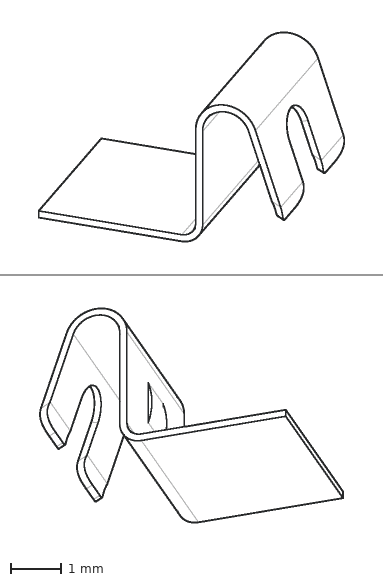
import cadquery as cq
import math

length = 5.16
width = 3.51
height = 3.17
thickness = 0.15

wall_x = 3.33
foot_inner_radius = 0.3
crown_radius = 0.65
tip_radius = 0.55
tip_center_z = 0.945
tip_end_angle = 27.0

slot_width = 1.015
slot_top_z = 2.44
finger_corner_radius = 0.395

pad_size = 0.91
pad_rise = 0.075
pad_center_z = 1.605

foot_outer_radius = foot_inner_radius + thickness
foot_center = (wall_x - foot_inner_radius, foot_outer_radius)
crown_center = (wall_x + crown_radius, height - crown_radius)
tip_center = (length - tip_radius, tip_center_z)

run = tip_center[0] - crown_center[0]
drop = crown_center[1] - tip_center[1]
leg_angle = math.degrees(
    math.atan2(run, drop) - math.asin((crown_radius - tip_radius) / math.hypot(run, drop))
)


def polar(center, radius, degrees):
    """Point in XZ at the given angle, measured from +X towards +Z."""
    angle = math.radians(degrees)
    return (center[0] + radius * math.cos(angle), center[1] + radius * math.sin(angle))


def curl_start(leg_point):
    """Where a line down the leg meets the plane, parallel to the tip's end face, starting the curl."""
    slope = math.radians(leg_angle)
    curl = math.radians(tip_end_angle)
    end = polar(tip_center, tip_radius, -tip_end_angle)
    rise = (leg_point[0] - end[0]) * math.sin(curl) + (leg_point[1] - end[1]) * math.cos(curl)
    travel = (rise - finger_corner_radius) / math.cos(slope + curl)
    return (leg_point[0] + travel * math.sin(slope), leg_point[1] - travel * math.cos(slope))


def make_strip():
    crown_mid = (180 + leg_angle) / 2
    crown_inner = crown_radius - thickness
    tip_inner = tip_radius - thickness
    leg_inner_top = polar(crown_center, crown_inner, leg_angle)
    leg_outer_top = polar(crown_center, crown_radius, leg_angle)
    return (
        cq.Workplane("XZ")
        .moveTo(0, 0)
        .lineTo(foot_center[0], 0)
        .threePointArc(
            polar(foot_center, foot_outer_radius, -45), polar(foot_center, foot_outer_radius, 0)
        )
        .lineTo(*polar(crown_center, crown_inner, 180))
        .threePointArc(
            polar(crown_center, crown_inner, crown_mid), leg_inner_top
        )
        .lineTo(*curl_start(leg_inner_top))
        .threePointArc(
            polar(tip_center, tip_inner, 0), polar(tip_center, tip_inner, -tip_end_angle)
        )
        .lineTo(*polar(tip_center, tip_radius, -tip_end_angle))
        .threePointArc(
            polar(tip_center, tip_radius, 0), curl_start(leg_outer_top)
        )
        .lineTo(*leg_outer_top)
        .threePointArc(
            polar(crown_center, crown_radius, crown_mid), polar(crown_center, crown_radius, 180)
        )
        .lineTo(*polar(foot_center, foot_inner_radius, 0))
        .threePointArc(
            polar(foot_center, foot_inner_radius, -45), polar(foot_center, foot_inner_radius, -90)
        )
        .lineTo(0, thickness)
        .close()
        .extrude(width / 2, both=True)
    )


def make_slot():
    """Round-topped cutter, square to the sloping leg and open at its lower end."""
    leg_start = polar(crown_center, crown_radius, leg_angle)
    slope = math.radians(leg_angle)
    crest_x = leg_start[0] + (leg_start[1] - slot_top_z) * math.tan(slope)
    leg_plane = cq.Plane(
        origin=(crest_x, 0, slot_top_z),
        xDir=(0, 1, 0),
        normal=(math.cos(slope), 0, math.sin(slope)),
    )
    half = slot_width / 2
    reach = slot_top_z
    depth = 2 * tip_radius
    return (
        cq.Workplane(leg_plane)
        .moveTo(-half, -half)
        .threePointArc((0, 0), (half, -half))
        .lineTo(half, -reach)
        .lineTo(-half, -reach)
        .close()
        .extrude(depth / 2, both=True)
    )


def make_corner_cutter(edge_y, inward):
    """Waste outside one finger corner; inward is the sign of Y pointing into the finger."""
    end_corner = polar(tip_center, tip_radius, -tip_end_angle)
    facing = math.radians(-tip_end_angle)
    finger_plane = cq.Plane(
        origin=(end_corner[0], edge_y, end_corner[1]),
        xDir=(0, 1, 0),
        normal=(math.cos(facing), 0, math.sin(facing)),
    )
    radius = finger_corner_radius
    arc_offset = radius * (1 - math.sqrt(0.5))
    return (
        cq.Workplane(finger_plane)
        .moveTo(0, radius)
        .threePointArc((inward * arc_offset, arc_offset), (inward * radius, 0))
        .lineTo(inward * radius, -radius)
        .lineTo(-inward * radius, -radius)
        .lineTo(-inward * radius, radius)
        .close()
        .extrude(tip_radius, both=True)
    )


def make_pad():
    half = pad_size / 2
    return (
        cq.Workplane("XZ")
        .moveTo(wall_x, pad_center_z - half)
        .threePointArc((wall_x - pad_rise, pad_center_z), (wall_x, pad_center_z + half))
        .lineTo(wall_x + thickness, pad_center_z + half)
        .lineTo(wall_x + thickness, pad_center_z - half)
        .close()
        .extrude(half, both=True)
    )


result = make_strip().cut(make_slot())
for side in (-1, 1):
    result = result.cut(make_corner_cutter(side * width / 2, -side))
    result = result.cut(make_corner_cutter(side * slot_width / 2, side))
result = result.union(make_pad())